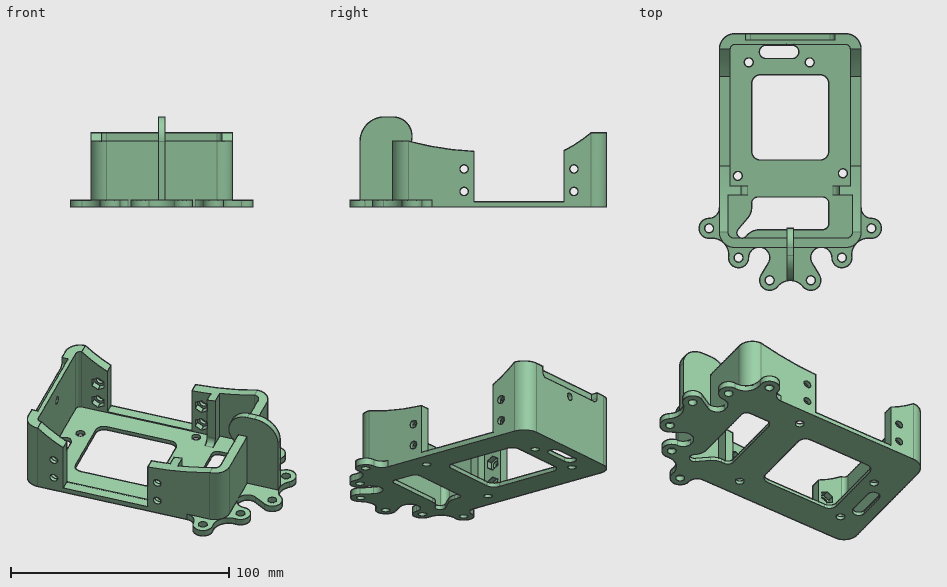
import cadquery as cq
import math


BOX_WIDTH = 65.0
BOX_LENGTH = 98.0
HALF_WIDTH = BOX_WIDTH / 2
FLOOR_HEIGHT = 2.0
SIDE_WALL = 5.0
BACK_WALL = 5.0
FRONT_WALL = 4.3
FRONT_SIDE_WALL = 4.0
CORNER_RADIUS = 7.15
INNER_RADIUS = CORNER_RADIUS - SIDE_WALL
FRONT_INNER_RADIUS = CORNER_RADIUS - FRONT_WALL

BACK_HEIGHT = 34.1
BACK_SLOPE_START = BOX_LENGTH - CORNER_RADIUS
GAP_BACK = BOX_LENGTH - 19.6
GAP_BACK_HEIGHT = 25.9
BACK_SLOPE_SAG = 0.5
GAP_FRONT = 37.3
GAP_FRONT_HEIGHT = 25.6
GAP_LEDGE_HEIGHT = 2.5
FRONT_HEIGHT = 30.3
FRONT_SLOPE_END = CORNER_RADIUS
FRONT_SLOPE_SAG = 0.85

RIB_BACK = 28.1
RIB_THICKNESS = 4.0
RIB_TIP_X = 22.5
RIB_FOOT_RADIUS = 3.0

SIDE_HOLE_DIAMETER = 3.7
SIDE_HOLE_Y = (32.7, BOX_LENGTH - 15.0)
SIDE_HOLE_Z = (7.2, 17.5)
NUT_SIDES = 6
NUT_WIDTH_ACROSS_FLATS = 5.8
NUT_POCKET_DEPTH = 3.0

RECESS_WIDTH = 41.0
RECESS_THICKNESS = 3.0
RECESS_DEPTH = 5.0
RECESS_RADIUS = 2.2
BACK_HOLE_DIAMETER = 3.4
BACK_HOLE_Z = 25.6

BOARD_HOLE_DIAMETER = 4.0
BOARD_HOLES = ((-19.0, 84.8), (8.9, 84.8), (-24.0, 32.8), (24.1, 34.0))
CABLE_SLOT_CENTER = (-5.1, 89.6)
CABLE_SLOT_LENGTH = 18.0
CABLE_SLOT_WIDTH = 6.0
WINDOW_HALF_WIDTH = 17.6
WINDOW_FRONT = 40.1
WINDOW_BACK = 79.1
WINDOW_RADIUS = 4.0
FRONT_WINDOW_FRONT = 8.2
FRONT_WINDOW_BACK = 23.1
FRONT_WINDOW_RADIUS = 2.8
DIAGONAL_END = (-22.0, 6.75)
DIAGONAL_WIDTH = 4.8
DIAGONAL_ANGLE = 50.0
DIAGONAL_BLEND_RADIUS = 7.5

LUG_PLATE_HEIGHT = 3.2
LUG_RADIUS = 4.64
LUG_HOLE_DIAMETER = 4.0
SIDE_LUG = (-37.16, 8.8)
CORNER_LUG = (-23.66, -4.65)
FRONT_LUG = (-9.43, -15.0)
SCALLOP_RADIUS = 7.5
ARCH_RADIUS = 4.8

FIN_THICKNESS = 3.2
FIN_FRONT = -15.0
FIN_HEIGHT = 41.4
FIN_BACK_RADIUS = 8.9
FIN_BACK_CENTER_Y = 0.0
FIN_FRONT_RADIUS = 11.3

CUT_MARGIN = 1.0
MIN_EDGE_LENGTH = 1e-6


def polar(center, radius, angle):
    """Point at a distance and angle (radians) from a center."""
    return (center[0] + radius * math.cos(angle), center[1] + radius * math.sin(angle))


def sagging_midpoint(start, end, sag):
    """Middle of an arc from start to end that dips by sag below its chord."""
    return ((start[0] + end[0]) / 2, (start[1] + end[1]) / 2 - sag)


def block(x_min, x_max, y_min, y_max, z_min, z_max):
    size = (x_max - x_min, y_max - y_min, z_max - z_min)
    return cq.Workplane("XY").box(*size, centered=False).translate((x_min, y_min, z_min))


def disc(center, radius, height):
    return cq.Workplane("XY").center(*center).circle(radius).extrude(height)


def rounded_outline(corners):
    """Closed wire through (x, y, radius) corners, each rounded by a tangent arc."""
    arcs = []
    for i, (x, y, radius) in enumerate(corners):
        corner = cq.Vector(x, y)
        before = cq.Vector(*corners[i - 1][:2])
        after = cq.Vector(*corners[(i + 1) % len(corners)][:2])
        to_before = (before - corner).normalized()
        to_after = (after - corner).normalized()
        half_angle = to_before.getAngle(to_after) / 2
        setback = radius / math.tan(half_angle)
        bisector = (to_before + to_after).normalized()
        apex_distance = radius / math.sin(half_angle) - radius
        apex = corner + bisector * apex_distance
        arcs.append((corner + to_before * setback, apex, corner + to_after * setback))
    edges = []
    for i, (start, apex, end) in enumerate(arcs):
        previous_end = arcs[i - 1][2]
        if (start - previous_end).Length > MIN_EDGE_LENGTH:
            edges.append(cq.Edge.makeLine(previous_end, start))
        edges.append(cq.Edge.makeThreePointArc(start, apex, end))
    return cq.Wire.assembleEdges(edges)


def make_box_shell():
    """Rounded box whose top follows the stepped and curved side profile."""
    shell = block(-HALF_WIDTH, HALF_WIDTH, 0, BOX_LENGTH, 0, BACK_HEIGHT)
    shell = shell.edges("|Z").fillet(CORNER_RADIUS)
    front_low = (GAP_FRONT, GAP_FRONT_HEIGHT)
    front_high = (FRONT_SLOPE_END, FRONT_HEIGHT)
    back_low = (GAP_BACK, GAP_BACK_HEIGHT)
    back_high = (BACK_SLOPE_START, BACK_HEIGHT)
    profile = (
        cq.Workplane("YZ")
        .moveTo(0, 0)
        .lineTo(0, FRONT_HEIGHT)
        .lineTo(*front_high)
        .threePointArc(sagging_midpoint(front_high, front_low, FRONT_SLOPE_SAG), front_low)
        .lineTo(GAP_FRONT, GAP_LEDGE_HEIGHT)
        .lineTo(GAP_BACK, GAP_LEDGE_HEIGHT)
        .lineTo(*back_low)
        .threePointArc(sagging_midpoint(back_low, back_high, BACK_SLOPE_SAG), back_high)
        .lineTo(BOX_LENGTH, BACK_HEIGHT)
        .lineTo(BOX_LENGTH, 0)
        .close()
        .extrude(HALF_WIDTH, both=True)
    )
    return shell.intersect(profile)


def make_cavity():
    """Space between the walls, leaving the two ribs standing with filleted feet."""
    rib_front = RIB_BACK - RIB_THICKNESS
    top = BACK_HEIGHT + CUT_MARGIN
    main_half = HALF_WIDTH - SIDE_WALL
    front_half = HALF_WIDTH - FRONT_SIDE_WALL
    main = block(-main_half, main_half, RIB_BACK, BOX_LENGTH - BACK_WALL, FLOOR_HEIGHT, top)
    main = main.edges("|Z and >Y").fillet(INNER_RADIUS)
    front = block(-front_half, front_half, FRONT_WALL, rib_front, FLOOR_HEIGHT, top)
    front = front.edges("|Z and <Y").fillet(FRONT_INNER_RADIUS)
    passage = block(-RIB_TIP_X, RIB_TIP_X, rib_front, RIB_BACK, FLOOR_HEIGHT, top)
    passage = passage.edges("|Y and <Z").fillet(RIB_FOOT_RADIUS)
    return main.union(front).union(passage)


def make_lug_plate_half():
    """Left half of the lug plate: lugs joined by a web with scalloped edges."""
    blend_center = (SIDE_LUG[0], SIDE_LUG[1] + 2 * LUG_RADIUS)

    lug_dx = CORNER_LUG[0] - SIDE_LUG[0]
    lug_dy = CORNER_LUG[1] - SIDE_LUG[1]
    half_span = math.hypot(lug_dx, lug_dy) / 2
    offset = math.sqrt((SCALLOP_RADIUS + LUG_RADIUS) ** 2 - half_span**2)
    lug_middle = ((SIDE_LUG[0] + CORNER_LUG[0]) / 2, (SIDE_LUG[1] + CORNER_LUG[1]) / 2)
    outer_scallop = polar(lug_middle, offset, math.atan2(-lug_dx, lug_dy))

    arch_center = (CORNER_LUG[0] + LUG_RADIUS + ARCH_RADIUS, CORNER_LUG[1])
    arch_dx = FRONT_LUG[0] - arch_center[0]
    arch_dy = FRONT_LUG[1] - arch_center[1]
    tangent_angle = math.atan2(arch_dy, arch_dx) + math.acos(
        (ARCH_RADIUS + LUG_RADIUS) / math.hypot(arch_dx, arch_dy)
    )
    arch_tangent = polar(arch_center, ARCH_RADIUS, tangent_angle)
    lug_tangent = polar(FRONT_LUG, -LUG_RADIUS, tangent_angle)

    middle_drop = math.sqrt((SCALLOP_RADIUS + LUG_RADIUS) ** 2 - FRONT_LUG[0] ** 2)
    middle_scallop = (0, FRONT_LUG[1] - middle_drop)

    web_outline = [
        (0, blend_center[1]),
        blend_center,
        SIDE_LUG,
        outer_scallop,
        CORNER_LUG,
        arch_center,
        arch_tangent,
        lug_tangent,
        FRONT_LUG,
        middle_scallop,
    ]
    plate = cq.Workplane("XY").polyline(web_outline).close().extrude(LUG_PLATE_HEIGHT)
    for lug in (SIDE_LUG, CORNER_LUG, FRONT_LUG):
        plate = plate.union(disc(lug, LUG_RADIUS, LUG_PLATE_HEIGHT))
    scallops = (
        (blend_center, LUG_RADIUS),
        (outer_scallop, SCALLOP_RADIUS),
        (arch_center, ARCH_RADIUS),
        (middle_scallop, SCALLOP_RADIUS),
    )
    for center, radius in scallops:
        plate = plate.cut(disc(center, radius, LUG_PLATE_HEIGHT))
    for lug in (SIDE_LUG, CORNER_LUG, FRONT_LUG):
        plate = plate.cut(disc(lug, LUG_HOLE_DIAMETER / 2, LUG_PLATE_HEIGHT))
    return plate


def make_fin():
    """Upright round-topped fin in front of the front wall, overhanging it at the back."""
    back_center = (FIN_BACK_CENTER_Y, FIN_HEIGHT - FIN_BACK_RADIUS)
    wall_angle = -math.acos((FRONT_WALL - FIN_BACK_CENTER_Y) / FIN_BACK_RADIUS)
    front_center = (FIN_FRONT + FIN_FRONT_RADIUS, FIN_HEIGHT - FIN_FRONT_RADIUS)
    front_apex = polar(front_center, FIN_FRONT_RADIUS, 3 * math.pi / 4)
    back_apex = polar(back_center, FIN_BACK_RADIUS, 0)
    back_foot = polar(back_center, FIN_BACK_RADIUS, wall_angle)
    return (
        cq.Workplane("YZ")
        .moveTo(FIN_FRONT, 0)
        .lineTo(FIN_FRONT, front_center[1])
        .threePointArc(front_apex, (front_center[0], FIN_HEIGHT))
        .lineTo(back_center[0], FIN_HEIGHT)
        .threePointArc(back_apex, back_foot)
        .lineTo(FRONT_WALL, 0)
        .close()
        .extrude(FIN_THICKNESS / 2, both=True)
    )


def make_floor_openings():
    cut_height = FLOOR_HEIGHT + CUT_MARGIN
    holes = cq.Workplane("XY").pushPoints(BOARD_HOLES).circle(BOARD_HOLE_DIAMETER / 2).extrude(cut_height)
    slot = cq.Workplane("XY").center(*CABLE_SLOT_CENTER).slot2D(CABLE_SLOT_LENGTH, CABLE_SLOT_WIDTH)
    window = block(-WINDOW_HALF_WIDTH, WINDOW_HALF_WIDTH, WINDOW_FRONT, WINDOW_BACK, 0, cut_height)
    window = window.edges("|Z").fillet(WINDOW_RADIUS)
    return holes.union(slot.extrude(cut_height)).union(window).union(make_front_window(cut_height))


def make_front_window(cut_height):
    """Rectangular window whose front left corner runs out into a round-ended diagonal slot."""
    angle = math.radians(DIAGONAL_ANGLE)
    end_radius = DIAGONAL_WIDTH / 2
    tip = polar(DIAGONAL_END, -end_radius, angle)
    tip_left = polar(tip, end_radius, angle + math.pi / 2)
    tip_right = polar(tip, end_radius, angle - math.pi / 2)
    left_join_y = tip_left[1] + (-WINDOW_HALF_WIDTH - tip_left[0]) * math.tan(angle)
    front_join_x = tip_right[0] + (FRONT_WINDOW_FRONT - tip_right[1]) / math.tan(angle)
    outline = rounded_outline(
        [
            (-WINDOW_HALF_WIDTH, FRONT_WINDOW_BACK, FRONT_WINDOW_RADIUS),
            (-WINDOW_HALF_WIDTH, left_join_y, DIAGONAL_BLEND_RADIUS),
            (*tip_left, end_radius),
            (*tip_right, end_radius),
            (front_join_x, FRONT_WINDOW_FRONT, DIAGONAL_BLEND_RADIUS),
            (WINDOW_HALF_WIDTH, FRONT_WINDOW_FRONT, FRONT_WINDOW_RADIUS),
            (WINDOW_HALF_WIDTH, FRONT_WINDOW_BACK, FRONT_WINDOW_RADIUS),
        ]
    )
    return cq.Workplane("XY").add(outline).toPending().extrude(cut_height)


def make_side_holes():
    """Screw holes through both side walls, with nut pockets opening inwards."""
    centers = [(y, z) for y in SIDE_HOLE_Y for z in SIDE_HOLE_Z]
    pocket_half_span = HALF_WIDTH - SIDE_WALL + NUT_POCKET_DEPTH
    point_up_turn = 180 / NUT_SIDES
    nut_across_corners = NUT_WIDTH_ACROSS_FLATS / math.cos(math.pi / NUT_SIDES)
    cutter = cq.Workplane("YZ").pushPoints(centers).circle(SIDE_HOLE_DIAMETER / 2)
    cutter = cutter.extrude(HALF_WIDTH + CUT_MARGIN, both=True)
    for y, z in centers:
        pocket = cq.Workplane("YZ").polygon(NUT_SIDES, nut_across_corners)
        pocket = pocket.extrude(pocket_half_span, both=True)
        pocket = pocket.rotate((0, 0, 0), (1, 0, 0), point_up_turn).translate((0, y, z))
        cutter = cutter.union(pocket)
    return cutter


def make_back_wall_cuts():
    """Recess in the top of the outer face of the back wall, and a hole through the wall."""
    recess = block(
        -RECESS_WIDTH / 2,
        RECESS_WIDTH / 2,
        BOX_LENGTH - RECESS_THICKNESS,
        BOX_LENGTH,
        BACK_HEIGHT - RECESS_DEPTH,
        BACK_HEIGHT,
    )
    recess = recess.edges("|Y and <Z").fillet(RECESS_RADIUS)
    hole = cq.Workplane("XZ").center(0, BACK_HOLE_Z).circle(BACK_HOLE_DIAMETER / 2).extrude(-BACK_WALL)
    return recess.union(hole.translate((0, BOX_LENGTH - BACK_WALL, 0)))


lug_plate_half = make_lug_plate_half()
lug_plate = lug_plate_half.union(lug_plate_half.mirror("YZ"))

result = (
    make_box_shell()
    .union(lug_plate)
    .cut(make_cavity())
    .union(make_fin())
    .cut(make_floor_openings())
    .cut(make_side_holes())
    .cut(make_back_wall_cuts())
)